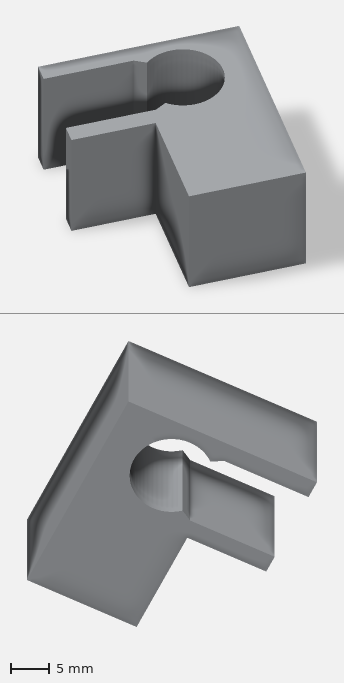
import cadquery as cq
import math

length = 30.0
depth = 27.5
height = 16.0
body_depth = 16.0

prong_thickness = 2.5
clip_width = 15.0
seat_diameter = 10.98
seat_from_back = 10.0
neck_width = 8.22
lip_angle = 60.0

seat_radius = seat_diameter / 2
clip_center_x = clip_width / 2
seat_center_y = depth - seat_from_back
slot_half = clip_width / 2 - prong_thickness
neck_half = neck_width / 2
neck_y = seat_center_y - math.sqrt(seat_radius**2 - neck_half**2)
lip_y = neck_y - (slot_half - neck_half) * math.tan(math.radians(lip_angle))
shoulder_y = depth - body_depth

outline = (
    cq.Workplane("XY")
    .moveTo(0, 0)
    .lineTo(clip_center_x - slot_half, 0)
    .lineTo(clip_center_x - slot_half, lip_y)
    .lineTo(clip_center_x - neck_half, neck_y)
    .threePointArc(
        (clip_center_x, seat_center_y + seat_radius),
        (clip_center_x + neck_half, neck_y),
    )
    .lineTo(clip_center_x + slot_half, lip_y)
    .lineTo(clip_center_x + slot_half, 0)
    .lineTo(clip_width, 0)
    .lineTo(clip_width, shoulder_y)
    .lineTo(length, shoulder_y)
    .lineTo(length, depth)
    .lineTo(0, depth)
    .close()
)

result = outline.extrude(height)